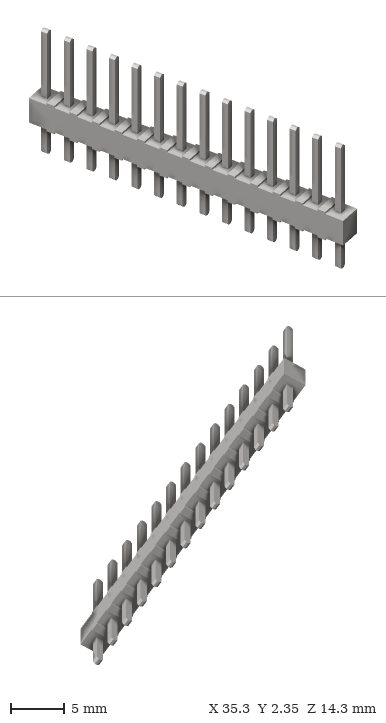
import cadquery as cq

pin_count = 14
body_length = 35.32
end_to_pin = 1.15
body_width = 2.35
body_height = 2.83
rib_width = 0.85
rib_height = 0.2
pin_side = 0.67
pin_length = 14.25
pin_below_body = 3.67
tip_chamfer = 0.2

pin_bottom = -body_height / 2 - pin_below_body
first_pin_x = -body_length / 2 + end_to_pin
pitch = (body_length - 2 * end_to_pin) / (pin_count - 1)


def make_body():
    """Plain rectangular housing carrying the row of pins."""
    return cq.Workplane("XY").box(body_length, body_width, body_height)


def make_rib(x):
    """Block through the body that stands proud of its top and bottom faces."""
    height = body_height + 2 * rib_height
    return cq.Workplane("XY").box(rib_width, body_width, height).translate((x, 0, 0))


def make_pin(x):
    """Square pin with both tips bevelled on the front and back sides only."""
    pin = cq.Workplane("XY").box(pin_side, pin_side, pin_length)
    pin = pin.faces("<Z or >Z").edges("|X").chamfer(tip_chamfer)
    return pin.translate((x, 0, pin_bottom + pin_length / 2))


result = make_body()

for gap in range(pin_count - 1):
    result = result.union(make_rib(first_pin_x + (gap + 0.5) * pitch))

for position in range(pin_count):
    result = result.union(make_pin(first_pin_x + position * pitch))